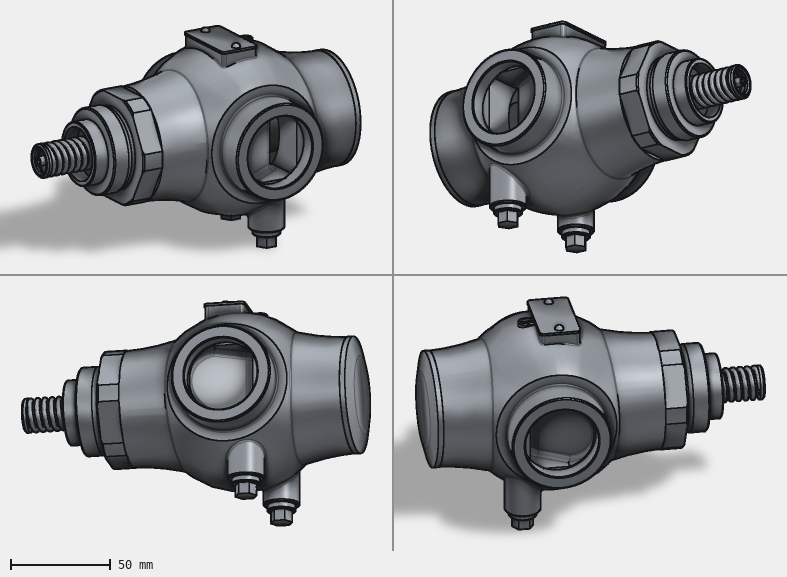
import cadquery as cq
import math


body_half_width = 34.4
body_mid_radius = 44.8
body_end_radius = 30.8

port_half_span = 100.0 / 2
port_radius = 25.4
port_chamfer = 0.7
port_fillet = 0.9
bore_radius = 18.8
bore_chamfer = 0.5

sleeve_radius = 16.5
chamber_radius = 24.3
chamber_start_y = 11.5
chamber_end_y = 22.6
bore_floor_x = 41.5
tunnel_radius = 18.2
tunnel_half_height = 17.4
tunnel_top_y = 14.8
ramp_inner_x = 25.2
ramp_inner_y = 7.6
ramp_fillet = 3.1

neck_root_radius = 34.0
neck_root_y = 27.8
neck_mid_radius = 30.8
neck_end_radius = 29.4
neck_end_y = 56.7
neck_fillet = 1.0
cap_radius = 29.5
cap_edge_y = 59.5
cap_end_y = 62.0
cap_flat_radius = 19.8

nut_flat_width = 55.3
nut_corner_radius = 29.7
nut_end_y = -68.0
nut_chamfer = 0.7
groove_radius = 21.5
groove_end_y = -69.9
flange_radius = 22.5
flange_start_y = -72.1
flange_end_y = -80.6
flange_chamfer = 0.7
tube_radius = 16.5
tube_bore_radius = 13.9
tube_end_y = -88.5
tube_chamfer = 0.5

spindle_radius = 2.5
spindle_end_y = cap_end_y - 173.8
socket_width = 2.6
socket_depth = 2.6
collar_radius = 3.5
collar_height = 1.7
spring_radius = 8.7
wire_diameter = 2.6
spring_pitch = 3.6
spring_turns = 8
spring_end_y = -111.2
end_coil_height = 2.5
end_coil_chamfer = 0.9

plug_x = 24.0
left_plug_y = 15.5
right_plug_y = 7.5
plug_boss_radius = 9.2
plug_boss_bottom = -48.1
plug_boss_chamfer = 0.7
plug_boss_fillet = 1.4
plug_flange_radius = 7.1
plug_flange_bottom = -51.3
plug_flange_chamfer = 0.5
plug_hex_width = 9.5
plug_bottom = -57.2

plate_length = 38.5
plate_width = 20.9
plate_center_y = -4.9
plate_bottom = 45.7
plate_thickness = 1.2
plate_corner = 2.3
pad_inset = 0.3
pad_base = 31.3
pad_fillet = 0.7
rivet_x = 15.0
rivet_radius = 2.3
rivet_height = 1.9

loop_outer_radius = 3.6
loop_inner_radius = 1.9
loop_center_y = 9.7
loop_top = 45.4
loop_chamfer = 0.7


def y_cylinder(radius, start_y, end_y):
    """Cylinder on the bonnet axis between two Y positions."""
    low = min(start_y, end_y)
    return cq.Workplane("XZ", origin=(0, low, 0)).circle(radius).extrude(-abs(end_y - start_y))


def across_corners(flat_width):
    """Corner-to-corner width of a hexagon."""
    return flat_width / math.cos(math.pi / 6)


def make_shell():
    """Bulged body with the two necks along Y."""
    body = (
        cq.Workplane("XY")
        .moveTo(-body_half_width, 0)
        .lineTo(-body_half_width, body_end_radius)
        .threePointArc((0, body_mid_radius), (body_half_width, body_end_radius))
        .lineTo(body_half_width, 0)
        .close()
        .revolve(360, (0, 0, 0), (1, 0, 0))
    )
    neck_mid_y = (neck_root_y + neck_end_y) / 2
    necks = (
        cq.Workplane("XY")
        .moveTo(0, -neck_end_y)
        .lineTo(neck_end_radius, -neck_end_y)
        .threePointArc((neck_mid_radius, -neck_mid_y), (neck_root_radius, -neck_root_y))
        .lineTo(neck_root_radius, neck_root_y)
        .threePointArc((neck_mid_radius, neck_mid_y), (neck_end_radius, neck_end_y))
        .lineTo(0, neck_end_y)
        .close()
        .revolve(360, (0, 0, 0), (0, 1, 0))
    )
    return body.union(necks).edges("%BSPLINE").fillet(neck_fillet)


def make_cap():
    """Low-domed cap closing the +Y neck."""
    return (
        cq.Workplane("XY")
        .moveTo(0, neck_end_y)
        .lineTo(cap_radius, neck_end_y)
        .lineTo(cap_radius, cap_edge_y)
        .lineTo(cap_flat_radius, cap_end_y)
        .lineTo(0, cap_end_y)
        .close()
        .revolve(360, (0, 0, 0), (0, 1, 0))
    )


def make_port(side):
    """Port stub with a rounded root; side is -1 or +1 along X."""
    root_x = side * body_half_width
    face_x = side * port_half_span
    arc_center_x = root_x + side * port_fillet
    arc_center_r = port_radius + port_fillet
    reach = port_fillet * math.sqrt(0.5)
    return (
        cq.Workplane("XY")
        .lineTo(root_x, 0)
        .lineTo(root_x, arc_center_r)
        .threePointArc(
            (arc_center_x - side * reach, arc_center_r - reach),
            (arc_center_x, port_radius),
        )
        .lineTo(face_x - side * port_chamfer, port_radius)
        .lineTo(face_x, port_radius - port_chamfer)
        .lineTo(face_x, 0)
        .lineTo(0, 0)
        .close()
        .revolve(360, (0, 0, 0), (1, 0, 0))
    )


def make_bore(side):
    """Round, chamfered bore in a port; side is -1 or +1 along X."""
    face_x = side * port_half_span
    return (
        cq.Workplane("XY")
        .moveTo(side * bore_floor_x, 0)
        .lineTo(side * bore_floor_x, bore_radius)
        .lineTo(face_x - side * bore_chamfer, bore_radius)
        .lineTo(face_x, bore_radius + bore_chamfer)
        .lineTo(face_x, 0)
        .close()
        .revolve(360, (0, 0, 0), (1, 0, 0))
    )


def make_passage():
    """Passage from the +X bore floor, deepening along a ramp to the chamber."""
    arc_end_y = -math.sqrt(tunnel_radius**2 - tunnel_half_height**2)
    tunnel = (
        cq.Workplane("YZ")
        .moveTo(tunnel_top_y, tunnel_half_height)
        .lineTo(arc_end_y, tunnel_half_height)
        .threePointArc((-tunnel_radius, 0), (arc_end_y, -tunnel_half_height))
        .lineTo(tunnel_top_y, -tunnel_half_height)
        .close()
        .extrude(port_half_span)
    )
    ramp_run = bore_floor_x - ramp_inner_x
    ramp_rise = ramp_inner_y + tunnel_radius
    turn = math.pi - math.atan2(ramp_rise, -ramp_run)
    lip_rise = chamber_start_y - ramp_inner_y
    lip_run = lip_rise / math.tan(turn / 2)
    wall = (
        cq.Workplane("XY")
        .moveTo(0, ramp_inner_y - 2 * ramp_rise)
        .lineTo(ramp_inner_x + 2 * ramp_run, ramp_inner_y - 2 * ramp_rise)
        .lineTo(ramp_inner_x, ramp_inner_y)
        .tangentArcPoint((ramp_inner_x - lip_run, chamber_start_y), relative=False)
        .lineTo(0, chamber_start_y)
        .close()
        .extrude(2 * tunnel_half_height, both=True)
    )
    ramp_normal = cq.Vector(ramp_rise, ramp_run, 0)
    passage = (
        tunnel.cut(wall)
        .faces(cq.selectors.ParallelDirSelector(ramp_normal))
        .edges("not |Z")
        .fillet(ramp_fillet)
    )
    beyond_floor = cq.Workplane("YZ", origin=(bore_floor_x, 0, 0)).circle(2 * bore_radius).extrude(port_half_span)
    return passage.cut(beyond_floor)


def make_cavity():
    """Both passages and the ring chamber around the central sleeve."""
    cavity = y_cylinder(chamber_radius, chamber_start_y, chamber_end_y)
    passage = make_passage()
    cavity = cavity.union(passage).union(passage.mirror("YZ"))
    for side in (-1, 1):
        cavity = cavity.union(make_bore(side))
    return cavity.cut(y_cylinder(sleeve_radius, chamber_start_y, chamber_end_y))


def make_bonnet():
    """Hex nut, grooved flange and bored tube on the -Y neck."""
    nut_blank = y_cylinder(nut_corner_radius, -neck_end_y, nut_end_y).faces("<Y").chamfer(nut_chamfer)
    hexagon = (
        cq.Workplane("XZ", origin=(0, -neck_end_y, 0))
        .polygon(6, across_corners(nut_flat_width))
        .extrude(-neck_end_y - nut_end_y)
    )
    turned = (
        cq.Workplane("XY")
        .moveTo(0, nut_end_y)
        .lineTo(groove_radius, nut_end_y)
        .lineTo(groove_radius, groove_end_y)
        .lineTo(flange_radius, flange_start_y)
        .lineTo(flange_radius, flange_end_y + flange_chamfer)
        .lineTo(flange_radius - flange_chamfer, flange_end_y)
        .lineTo(tube_radius, flange_end_y)
        .lineTo(tube_radius, tube_end_y + tube_chamfer)
        .lineTo(tube_radius - tube_chamfer, tube_end_y)
        .lineTo(tube_bore_radius, tube_end_y)
        .lineTo(tube_bore_radius, flange_end_y)
        .lineTo(0, flange_end_y)
        .close()
        .revolve(360, (0, 0, 0), (0, 1, 0))
    )
    return nut_blank.intersect(hexagon).union(turned)


def make_spindle():
    """Spindle with a hex socket and a collar on the tube floor."""
    collar = y_cylinder(collar_radius, flange_end_y, flange_end_y - collar_height)
    socket = (
        cq.Workplane("XZ", origin=(0, spindle_end_y + socket_depth, 0))
        .polygon(6, across_corners(socket_width))
        .extrude(socket_depth)
    )
    return y_cylinder(spindle_radius, flange_end_y, spindle_end_y).union(collar).cut(socket)


def make_spring():
    """Right-hand coil rooted in the tube floor, with a closed flat end coil."""
    coil_radius = spring_radius - wire_diameter / 2
    coil_inner_radius = spring_radius - wire_diameter
    coil_height = spring_turns * spring_pitch
    coil_start_y = spring_end_y + end_coil_height
    path = cq.Wire.makeHelix(spring_pitch, coil_height, coil_radius)
    coil = (
        cq.Workplane("XZ", origin=(coil_radius, 0, 0))
        .circle(wire_diameter / 2)
        .sweep(cq.Workplane(path), isFrenet=True)
        .rotate((0, 0, 0), (1, 0, 0), -90)
        .rotate((0, 0, 0), (0, 1, 0), 180)
        .translate((0, coil_start_y, 0))
    )
    end_coil = (
        y_cylinder(spring_radius, spring_end_y, coil_start_y)
        .cut(y_cylinder(coil_inner_radius, spring_end_y, coil_start_y))
        .faces("<Y")
        .edges("%CIRCLE")
        .chamfer(end_coil_chamfer)
    )
    return coil.union(end_coil)


def add_filleted(body, feature, radius):
    """Join a vertical feature to the body and round the seam between them."""
    box = feature.val().BoundingBox()
    corners = ((box.xmin, box.ymin, box.zmin), (box.xmax, box.ymax, box.zmax))
    seam = cq.selectors.BoxSelector(*corners)
    return body.union(feature).edges(seam).edges("%BSPLINE").fillet(radius)


def make_plug_boss(x, y):
    """Cylindrical boss hanging from the lower half of the body."""
    return (
        cq.Workplane("XY", origin=(x, y, plug_boss_bottom))
        .circle(plug_boss_radius)
        .extrude(-plug_boss_bottom - bore_radius)
        .faces("<Z")
        .chamfer(plug_boss_chamfer)
    )


def make_plug(x, y):
    """Plug flange and hex head below a boss."""
    flange = (
        cq.Workplane("XY", origin=(x, y, plug_boss_bottom))
        .circle(plug_flange_radius)
        .extrude(plug_flange_bottom - plug_boss_bottom)
        .faces("<Z")
        .chamfer(plug_flange_chamfer)
    )
    head = (
        cq.Workplane("XY", origin=(x, y, plug_flange_bottom))
        .transformed(rotate=(0, 0, 90))
        .polygon(6, across_corners(plug_hex_width))
        .extrude(plug_bottom - plug_flange_bottom)
    )
    return flange.union(head)


def make_pad():
    """Raised pad under the nameplate."""
    return (
        cq.Workplane("XY", origin=(0, plate_center_y, pad_base))
        .rect(plate_length - 2 * pad_inset, plate_width - 2 * pad_inset)
        .extrude(plate_bottom - pad_base)
        .edges("|Z")
        .fillet(plate_corner - pad_inset)
    )


def make_nameplate():
    """Thin plate overhanging the pad, with two domed rivets."""
    nameplate = (
        cq.Workplane("XY", origin=(0, plate_center_y, plate_bottom))
        .rect(plate_length, plate_width)
        .extrude(plate_thickness)
        .edges("|Z")
        .fillet(plate_corner)
    )
    plate_top = plate_bottom + plate_thickness
    dome_radius = (rivet_radius**2 + rivet_height**2) / (2 * rivet_height)
    for x in (-rivet_x, rivet_x):
        dome = cq.Workplane("XY").sphere(dome_radius)
        dome = dome.translate((x, plate_center_y, plate_top + rivet_height - dome_radius))
        nameplate = nameplate.union(dome)
    return nameplate


def loop_outline(radius):
    """Column with a straight-sided, round-ended section running into the pad."""
    return (
        cq.Workplane("XY", origin=(0, 0, pad_base))
        .moveTo(-radius, 0)
        .lineTo(-radius, loop_center_y)
        .threePointArc((0, loop_center_y + radius), (radius, loop_center_y))
        .lineTo(radius, 0)
        .close()
        .extrude(loop_top - pad_base)
    )


def make_loop():
    """U-shaped rib behind the nameplate pad."""
    return loop_outline(loop_outer_radius).faces(">Z").chamfer(loop_chamfer).cut(loop_outline(loop_inner_radius))


plugs = [(-plug_x, left_plug_y), (plug_x, right_plug_y)]

result = make_shell()
for x, y in plugs:
    result = add_filleted(result, make_plug_boss(x, y), plug_boss_fillet)
result = add_filleted(result, make_pad(), pad_fillet)
for side in (-1, 1):
    result = result.union(make_port(side))
result = result.cut(make_cavity())
for x, y in plugs:
    result = result.union(make_plug(x, y))
result = result.union(make_cap()).union(make_bonnet()).union(make_spindle())
result = result.union(make_nameplate()).union(make_loop()).union(make_spring())